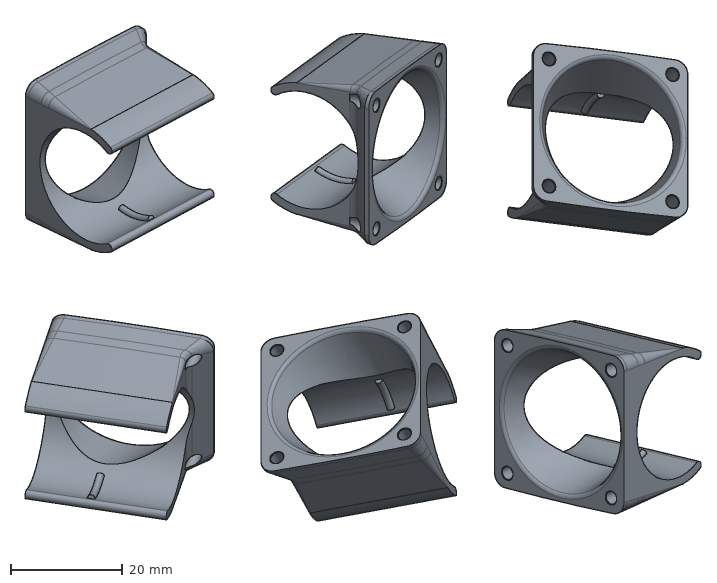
import cadquery as cq
import math

half_height = 15.0
half_width = 15.0
length = 22.0
body_back = 11.0
rib_y = -3.2

bore_x = 15.0
bore_radius = 11.28
jaw_thickness = 1.65
jaw_radius = bore_radius + jaw_thickness
tip_radius = jaw_thickness / 2
tip_path_radius = bore_radius + tip_radius
tip_x = length - tip_radius
tip_z = math.sqrt(tip_path_radius**2 - (tip_x - bore_x) ** 2)

slope_angle = math.atan2(half_height, bore_x) - math.asin(jaw_radius / math.hypot(bore_x, half_height))
tangent_x = bore_x + jaw_radius * math.sin(slope_angle)
tangent_z = jaw_radius * math.cos(slope_angle)

corner_radius = 2.55
blend_corner_radius = 1.35
body_corner_radius = 1.05
end_corner_radius = 0.05
crown = 0.15
end_crown = 0.015
blend_radius = 2.58
blend_end_x = 5.88
blend_steps = 4

mouth_y = -0.27
mouth_radius = 13.62
tunnel_length = 10.8
tunnel_end_y = -3.1
tunnel_end_radius = 10.02
mouth_rounding = 0.85

hole_offset = 12.0
hole_radius = 1.2
hole_depth = 6.0
hole_chamfer = 0.12
rib_radius = 0.72
rib_start_angle = -12.5
rib_end_angle = 27.5


def body_section(x, back, back_radius):
    """Rounded, slightly crowned YZ section of the body at a given X."""
    remaining = 1 - x / tangent_x
    top = half_height - x * math.tan(slope_angle)
    shoulder = top - end_crown - (crown - end_crown) * remaining
    front_radius = end_corner_radius + (corner_radius - end_corner_radius) * remaining
    front = -half_width
    ridge_y = (front + front_radius + back - back_radius) / 2
    front_mid = front_radius * (1 - math.sqrt(0.5))
    back_mid = back_radius * (1 - math.sqrt(0.5))
    outline = (
        cq.Workplane("YZ", origin=(x, 0, 0))
        .moveTo(front, -shoulder + front_radius)
        .lineTo(front, shoulder - front_radius)
        .threePointArc((front + front_mid, shoulder - front_mid), (front + front_radius, shoulder))
        .threePointArc((ridge_y, top), (back - back_radius, shoulder))
        .threePointArc((back - back_mid, shoulder - back_mid), (back, shoulder - back_radius))
        .lineTo(back, -shoulder + back_radius)
        .threePointArc((back - back_mid, -shoulder + back_mid), (back - back_radius, -shoulder))
        .threePointArc((ridge_y, -top), (front + front_radius, -shoulder))
        .threePointArc((front + front_mid, -shoulder + front_mid), (front, -shoulder + front_radius))
        .close()
    )
    return outline.val()


def make_body():
    """Flange that slopes at 45 degrees and blends into the narrower body."""
    slant_end_x = blend_end_x - blend_radius * math.sin(math.pi / 4)
    slant_end_y = body_back + blend_radius * (1 - math.cos(math.pi / 4))
    slant_start_x = slant_end_x - (half_width - slant_end_y)
    flange_sections = [
        body_section(0, half_width, corner_radius),
        body_section(slant_start_x, half_width, corner_radius),
        body_section(slant_end_x, slant_end_y, blend_corner_radius),
    ]
    blend_sections = []
    for step in range(blend_steps + 1):
        fraction = step / blend_steps
        angle = math.pi / 4 * (1 - fraction)
        x = blend_end_x - blend_radius * math.sin(angle)
        back = body_back + blend_radius * (1 - math.cos(angle))
        radius = blend_corner_radius + (body_corner_radius - blend_corner_radius) * fraction
        blend_sections.append(body_section(x, back, radius))
    clamp_sections = [
        body_section(blend_end_x, body_back, body_corner_radius),
        body_section(tangent_x, body_back, end_corner_radius),
    ]
    flange = cq.Workplane(obj=cq.Solid.makeLoft(flange_sections, True))
    blend = cq.Workplane(obj=cq.Solid.makeLoft(blend_sections, False))
    clamp = cq.Workplane(obj=cq.Solid.makeLoft(clamp_sections, True))
    return flange.union(blend).union(clamp)


def make_jaw(side):
    """Round-tipped jaw, still solid inside the bore; side is +1 for the top, -1 for the bottom."""
    tip_angle = math.atan2(tip_x - bore_x, tip_z)

    def polar(radius, angle):
        return bore_x + radius * math.sin(angle), side * radius * math.cos(angle)

    middle_angle = (slope_angle + tip_angle) / 2
    tip_end = (
        tip_x + tip_radius * math.cos(tip_angle),
        side * (tip_z - tip_radius * math.sin(tip_angle)),
    )
    profile = (
        cq.Workplane("XZ", origin=(0, body_back, 0))
        .moveTo(tangent_x, side * tangent_z)
        .threePointArc(polar(jaw_radius, middle_angle), polar(jaw_radius, tip_angle))
        .threePointArc(tip_end, polar(bore_radius, tip_angle))
        .lineTo(tangent_x, side * tip_z / 2)
        .close()
    )
    return profile.extrude(half_width + body_back)


def make_tunnel():
    """Tapered, slightly skewed tunnel with a rounded mouth."""
    x_axis = cq.Vector(1, 0, 0)
    mouth = cq.Wire.makeCircle(mouth_radius, cq.Vector(0, mouth_y, 0), x_axis)
    end = cq.Wire.makeCircle(tunnel_end_radius, cq.Vector(tunnel_length, tunnel_end_y, 0), x_axis)
    return cq.Workplane(obj=cq.Solid.makeLoft([mouth, end], True))


def make_rib():
    """Round rib on the inside of the upper jaw."""
    return (
        cq.Workplane("XY", origin=(bore_x, rib_y, 0))
        .center(bore_radius, 0)
        .circle(rib_radius)
        .revolve(rib_end_angle - rib_start_angle, (-bore_radius, 0, 0), (-bore_radius, -1, 0))
        .rotate((bore_x, 0, 0), (bore_x, 1, 0), rib_end_angle - 90)
    )


def make_screw_holes():
    centers = [(y, z) for y in (-hole_offset, hole_offset) for z in (-hole_offset, hole_offset)]
    holes = cq.Workplane("YZ").pushPoints(centers).circle(hole_radius).extrude(hole_depth)
    for y, z in centers:
        lead_in = cq.Solid.makeCone(
            hole_radius + hole_chamfer, hole_radius, hole_chamfer, cq.Vector(0, y, z), cq.Vector(1, 0, 0)
        )
        holes = holes.union(cq.Workplane(obj=lead_in))
    return holes


bore = cq.Workplane("XZ").center(bore_x, 0).circle(bore_radius).extrude(half_width * 2, both=True)
result = make_body().cut(make_tunnel())
mouth_edge = cq.selectors.NearestToPointSelector((0, mouth_y, 0))
result = result.faces("<X").edges(mouth_edge).fillet(mouth_rounding)
result = result.cut(bore)
for side in (1, -1):
    result = result.union(make_jaw(side).cut(bore))

upper_rib = make_rib()
result = result.union(upper_rib).union(upper_rib.mirror("XY"))
result = result.cut(make_screw_holes())